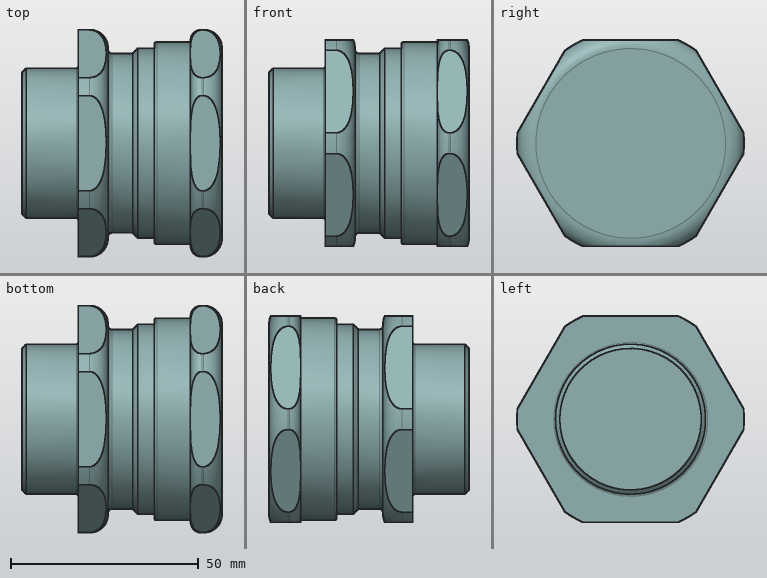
import cadquery as cq


HEX_SIDES = 6
ACROSS_FLATS = 55.0
HEX_ROUND_DIAMETER = 60.57
CORNER_ROUND = 5.0
NUT_FRONT_ROUND = 3.0

ENTRY_HEX_START = 15.0
ENTRY_HEX_WIDTH = 8.0
RING_START = 29.6
COLLAR_START = 35.3
NUT_HEX_START = 44.9
TOTAL_LENGTH = 53.37

STUD_DIAMETER = 40.0
STUD_CHAMFER = 1.15
STUD_ROOT_FILLET = 0.5
NECK_DIAMETER = 47.9
NECK_FILLET = 1.0

RING_DIAMETER = 50.68
RING_CHAMFER = 1.3

COLLAR_DIAMETER = 53.95
COLLAR_FILLET = 0.6

ENTRY_HEX_END = ENTRY_HEX_START + ENTRY_HEX_WIDTH


def cylinder(diameter, start, end):
    """Solid cylinder on the X axis between two stations."""
    return cq.Workplane("YZ", origin=(start, 0, 0)).circle(diameter / 2).extrude(end - start)


def hex_bar(start, end):
    """Hexagonal prism on the X axis with corners along Y."""
    return (
        cq.Workplane("YZ", origin=(start, 0, 0))
        .polygon(HEX_SIDES, ACROSS_FLATS, circumscribed=True)
        .extrude(end - start)
        .rotate((0, 0, 0), (1, 0, 0), 180 / HEX_SIDES)
    )


def turned_hexagon(start, end, front_round=0.0):
    """Hexagon whose corners are turned round, with rounded front and back rims."""
    turned_blank = cylinder(HEX_ROUND_DIAMETER, start, end).faces(">X").edges().fillet(CORNER_ROUND)
    if front_round:
        turned_blank = turned_blank.faces("<X").edges().fillet(front_round)
    return turned_blank.intersect(hex_bar(start, end))


def root_fillet(diameter, face, radius, direction):
    """Flared disc that blends a cylinder into a flat face; direction is the side of the face it lies on."""
    root = diameter / 2
    reach = face + direction * radius
    inset = radius * (1 - 0.5 ** 0.5)
    return (
        cq.Workplane("XY")
        .moveTo(face, 0)
        .lineTo(reach, 0)
        .lineTo(reach, root)
        .threePointArc((face + direction * inset, root + inset), (face, root + radius))
        .close()
        .revolve(360, (0, 0, 0), (1, 0, 0))
    )


def make_entry_body():
    stud = cylinder(STUD_DIAMETER, 0, ENTRY_HEX_START).faces("<X").chamfer(STUD_CHAMFER)
    neck = cylinder(NECK_DIAMETER, ENTRY_HEX_END, RING_START)
    return (
        turned_hexagon(ENTRY_HEX_START, ENTRY_HEX_END)
        .union(stud)
        .union(root_fillet(STUD_DIAMETER, ENTRY_HEX_START, STUD_ROOT_FILLET, -1))
        .union(neck)
        .union(root_fillet(NECK_DIAMETER, ENTRY_HEX_END, NECK_FILLET, 1))
    )


def make_centre_ring():
    return cylinder(RING_DIAMETER, RING_START, COLLAR_START).faces("<X").chamfer(RING_CHAMFER)


def make_nut():
    collar = cylinder(COLLAR_DIAMETER, COLLAR_START, NUT_HEX_START)
    collar = collar.faces("<X").edges().fillet(COLLAR_FILLET)
    return turned_hexagon(NUT_HEX_START, TOTAL_LENGTH, NUT_FRONT_ROUND).union(collar)


entry_body = make_entry_body()
centre_ring = make_centre_ring()
nut = make_nut()

result = cq.Compound.makeCompound([*entry_body.solids().vals(), *centre_ring.solids().vals(), *nut.solids().vals()])